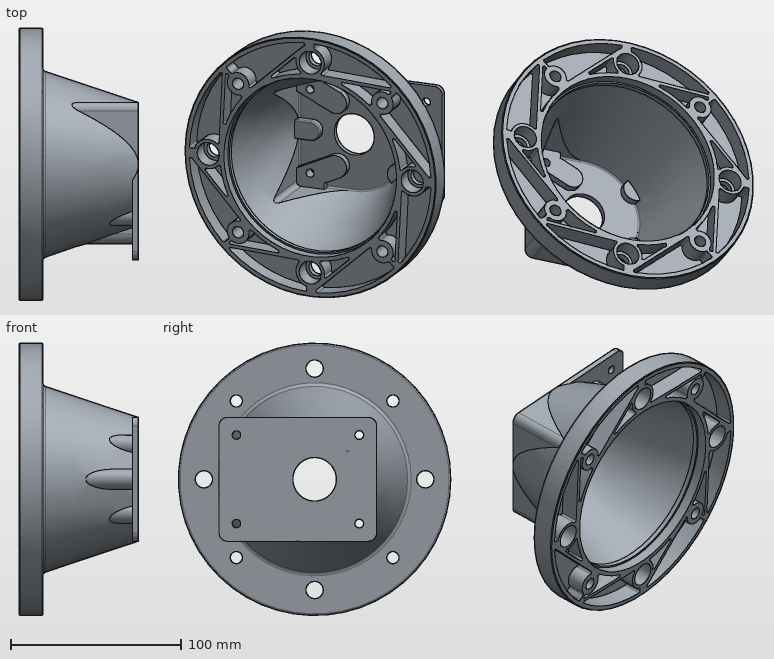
import cadquery as cq
import math

FLANGE_DIAMETER = 160.0
FLANGE_THICKNESS = 14.0
FLANGE_EDGE_RADIUS = 1.0
FLANGE_FACE_CHAMFER = 0.5
SPIGOT_DIAMETER = 110.0
SPIGOT_DEPTH = 6.0
RIM_LAND_RADIUS = 54.0

BOLT_CIRCLE_RADIUS = 65.0
BOLT_HOLE_DIAMETER = 10.0
BOLT_BORE_DIAMETER = 14.0
BOLT_BORE_DEPTH = 10.0
BOLT_BOSS_RADIUS = 9.0
SMALL_HOLE_DIAMETER = 7.0
SMALL_BOSS_RADIUS = 6.9
HOLE_STEP_ANGLE = 45
HOLE_ANGLES = range(0, 360, HOLE_STEP_ANGLE)
BOLT_ANGLES = HOLE_ANGLES[0::2]
SMALL_ANGLES = HOLE_ANGLES[1::2]

POCKET_INNER_RADIUS = 57.5
POCKET_OUTER_RADIUS = 77.0
POCKET_DEPTH = 11.0
POCKET_CORNER_RADIUS = 0.9
WEB_THICKNESS = 2.0
BOLT_WEB_THICKNESS = 3.8
BOLT_WEB_OFFSET = -0.4
BOSS_NECK_THICKNESS = 3.8
SMALLEST_POCKET_VOLUME = 100.0
SLANTED_WEB_OFFSET = 57.4
SLANTED_WEB_OVERLAP = 4.2
SLANTED_WEB_TURN = 2.8

TOTAL_LENGTH = 70.0
CONE_BASE_RADIUS = 55.1
CONE_END_RADIUS = 36.4
CONE_FILLET = 2.2
WALL_RADIAL = 2.8
CONE_SLOPE = (CONE_BASE_RADIUS - CONE_END_RADIUS) / (TOTAL_LENGTH - FLANGE_THICKNESS)

PLATE_THICKNESS = 3.5
PLATE_HALF_WIDTH = CONE_END_RADIUS
PLATE_BOTTOM = -56.1
PLATE_CORNER_RADIUS = 5.0
FLOOR_X = TOTAL_LENGTH - PLATE_THICKNESS
FLOOR_FILLET = 1.0
SHAFT_HOLE_DIAMETER = 25.4
PLATE_HOLE_DIAMETER = 5.0
PLATE_HOLE_Y = (26.2, -45.9)
PLATE_HOLE_Z = 26.0

CORNER_WALL = 1.5
CORNER_START_X = 22.0
CORNER_INNER_HALF = PLATE_HALF_WIDTH - CORNER_WALL
CORNER_INNER_RADIUS = 3.0

PAD_HEIGHT = 4.5
PAD_RADIUS = 7.0
PAD_Z = 20.0
UPPER_PAD_Y = 10.0
LOWER_PAD_Y = -30.0
PAD_SLOPE_ANGLE = 25.0
PAD_UPPER_END_Y = 17.2
POST_RADIUS = 6.0
POST_EDGE_RADIUS = 0.8
POST_Y = 26.0
LUG_RADIUS = 6.0
CENTRE_LUG_Y = -40.7


def cone_radius(x):
    """Outer radius of the cone at distance x from the flange face."""
    return CONE_END_RADIUS + (TOTAL_LENGTH - x) * CONE_SLOPE


def at_x(x):
    """Workplane facing +X at distance x; local axes are Y and Z."""
    return cq.Workplane("YZ", origin=(x, 0, 0))


def polar(radius, angle):
    """Point in the YZ plane, angle in degrees from +Y towards +Z."""
    turn = math.radians(angle)
    return radius * math.cos(turn), radius * math.sin(turn)


def bolt_circle_cylinders(angles, diameter, start_x, length):
    points = [polar(BOLT_CIRCLE_RADIUS, angle) for angle in angles]
    return at_x(start_x).pushPoints(points).circle(diameter / 2).extrude(length)


def revolve_profile(points):
    """Turn an (x, radius) outline about the X axis."""
    return cq.Workplane("XY").polyline(points).close().revolve(360, (0, 0, 0), (1, 0, 0))


def flange():
    disc = at_x(0).circle(FLANGE_DIAMETER / 2).extrude(FLANGE_THICKNESS)
    disc = disc.faces(">X").edges().fillet(FLANGE_EDGE_RADIUS)
    return disc.faces("<X").edges().chamfer(FLANGE_FACE_CHAMFER)


def cone():
    return revolve_profile([
        (0, 0),
        (0, SPIGOT_DIAMETER / 2),
        (FLANGE_THICKNESS, CONE_BASE_RADIUS),
        (TOTAL_LENGTH, CONE_END_RADIUS),
        (TOTAL_LENGTH, 0),
    ])


def flanged_cone():
    """Flange and cone joined, with a fillet where the cone leaves the flange."""
    joined = flange().union(cone())
    margin = 0.1
    reach = CONE_BASE_RADIUS + 1
    seam = cq.selectors.BoxSelector(
        (FLANGE_THICKNESS - margin, -reach, -reach),
        (FLANGE_THICKNESS + margin, reach, reach),
    )
    return joined.edges("%CIRCLE").edges(seam).fillet(CONE_FILLET)


def corner_block(half, radius, start_x, end_x):
    """Block from the axis to +Y with its two long outer edges rounded."""
    block = at_x(start_x).center(half / 2, 0).rect(half, 2 * half).extrude(end_x - start_x)
    return block.edges("|X and >Y").fillet(radius)


def plate():
    height = PLATE_HALF_WIDTH - PLATE_BOTTOM
    slab = at_x(FLOOR_X).center(PLATE_HALF_WIDTH - height / 2, 0)
    slab = slab.rect(height, 2 * PLATE_HALF_WIDTH).extrude(PLATE_THICKNESS)
    return slab.edges("|X").fillet(PLATE_CORNER_RADIUS)


def tongue(y_from, y_to, z, radius, start_x, end_x):
    """Bar along Y with a round end at y_from and a square end at y_to."""
    length = end_x - start_x
    bar = at_x(start_x).center((y_from + y_to) / 2, z)
    bar = bar.rect(abs(y_to - y_from), 2 * radius).extrude(length)
    return bar.union(at_x(start_x).center(y_from, z).circle(radius).extrude(length))


def outer_lugs():
    centre = tongue(CENTRE_LUG_Y, 0, 0, LUG_RADIUS, FLANGE_THICKNESS, FLOOR_X)
    sides = at_x(FLANGE_THICKNESS).pushPoints([(LOWER_PAD_Y, PAD_Z), (LOWER_PAD_Y, -PAD_Z)])
    return centre.union(sides.circle(LUG_RADIUS).extrude(FLOOR_X - FLANGE_THICKNESS))


def cavity():
    """Hollow of the housing: spigot recess, land, cone and square corners."""
    land_end_x = TOTAL_LENGTH - (RIM_LAND_RADIUS + WALL_RADIAL - CONE_END_RADIUS) / CONE_SLOPE
    floor_radius = cone_radius(FLOOR_X) - WALL_RADIAL
    space = revolve_profile([
        (0, 0),
        (0, SPIGOT_DIAMETER / 2),
        (SPIGOT_DEPTH, SPIGOT_DIAMETER / 2),
        (SPIGOT_DEPTH, RIM_LAND_RADIUS),
        (land_end_x, RIM_LAND_RADIUS),
        (FLOOR_X, floor_radius),
        (FLOOR_X, 0),
    ])
    corners = corner_block(CORNER_INNER_HALF, CORNER_INNER_RADIUS, CORNER_START_X, FLOOR_X)
    space = space.faces(">X").edges().fillet(FLOOR_FILLET)
    corners = corners.faces(">X").edges("not <Y").fillet(FLOOR_FILLET)
    return space.union(corners)


def upper_pad(side):
    """Pad from a round nose at the screw point to the housing corner."""
    turn = math.radians(PAD_SLOPE_ANGLE)
    nose_y = PAD_RADIUS * math.sin(turn)
    nose_z = PAD_RADIUS * math.cos(turn)
    low_y, low_z = UPPER_PAD_Y + nose_y, PAD_Z - nose_z
    high_y, high_z = UPPER_PAD_Y - nose_y, PAD_Z + nose_z
    slope = math.tan(turn)
    edge = PLATE_HALF_WIDTH - CORNER_WALL / 2
    outline = [
        (low_y, low_z),
        (edge, low_z + (edge - low_y) * slope),
        (edge, edge),
        (PAD_UPPER_END_Y, edge),
        (PAD_UPPER_END_Y, high_z + (PAD_UPPER_END_Y - high_y) * slope),
        (high_y, high_z),
    ]
    start_x = FLOOR_X - PAD_HEIGHT
    wedge = at_x(start_x).polyline([(y, side * z) for y, z in outline]).close().extrude(PAD_HEIGHT)
    nose = at_x(start_x).center(UPPER_PAD_Y, side * PAD_Z).circle(PAD_RADIUS).extrude(PAD_HEIGHT)
    return wedge.union(nose)


def inner_pads():
    start_x = FLOOR_X - PAD_HEIGHT
    pads = tongue(POST_Y, PLATE_HALF_WIDTH, 0, POST_RADIUS, start_x, FLOOR_X)
    pads = pads.faces("<X").edges("not >Y").fillet(POST_EDGE_RADIUS)
    lower_points = [(LOWER_PAD_Y, PAD_Z), (LOWER_PAD_Y, -PAD_Z)]
    pads = pads.union(at_x(start_x).pushPoints(lower_points).circle(PAD_RADIUS).extrude(PAD_HEIGHT))
    for side in (1, -1):
        pads = pads.union(upper_pad(side))
    return pads


def pocket_web(thickness, offset, start, end):
    """Wall along +Z from start to end, centred at Y = offset, as deep as the pockets."""
    web = cq.Workplane("XY").box(POCKET_DEPTH, thickness, end - start)
    return web.translate((POCKET_DEPTH / 2, offset, (start + end) / 2))


def turned(shape, angle):
    return shape.rotate((0, 0, 0), (1, 0, 0), angle)


def flange_pockets():
    """Ring-shaped space split by the hole bosses, radial webs and slanted webs."""
    ring = at_x(0).circle(POCKET_OUTER_RADIUS).circle(POCKET_INNER_RADIUS).extrude(POCKET_DEPTH)
    ring = ring.cut(bolt_circle_cylinders(BOLT_ANGLES, 2 * BOLT_BOSS_RADIUS, 0, POCKET_DEPTH))
    ring = ring.cut(bolt_circle_cylinders(SMALL_ANGLES, 2 * SMALL_BOSS_RADIUS, 0, POCKET_DEPTH))
    web_end = FLANGE_DIAMETER / 2
    bolt_web = pocket_web(BOLT_WEB_THICKNESS, BOLT_WEB_OFFSET, BOLT_CIRCLE_RADIUS, web_end)
    small_web = pocket_web(WEB_THICKNESS, 0, BOLT_CIRCLE_RADIUS, web_end)
    boss_neck = pocket_web(
        BOSS_NECK_THICKNESS, BOSS_NECK_THICKNESS / 2, SPIGOT_DIAMETER / 2, BOLT_CIRCLE_RADIUS)
    slanted_web = pocket_web(
        WEB_THICKNESS, SLANTED_WEB_OFFSET, -SLANTED_WEB_OVERLAP, POCKET_OUTER_RADIUS)
    for angle in BOLT_ANGLES:
        ring = ring.cut(turned(bolt_web, angle))
    for angle in SMALL_ANGLES:
        ring = ring.cut(turned(small_web, angle)).cut(turned(boss_neck, angle))
    for angle in HOLE_ANGLES:
        ring = ring.cut(turned(slanted_web, angle + SLANTED_WEB_TURN))
    pockets = ring.solids().filter(lambda pocket: pocket.Volume() > SMALLEST_POCKET_VOLUME)
    return pockets.edges("|X").fillet(POCKET_CORNER_RADIUS)


def cut_flange_holes(body):
    """Counterbored bolt holes and the plain holes between them."""
    body = body.cut(bolt_circle_cylinders(BOLT_ANGLES, BOLT_HOLE_DIAMETER, 0, FLANGE_THICKNESS))
    body = body.cut(bolt_circle_cylinders(BOLT_ANGLES, BOLT_BORE_DIAMETER, 0, BOLT_BORE_DEPTH))
    return body.cut(bolt_circle_cylinders(SMALL_ANGLES, SMALL_HOLE_DIAMETER, 0, FLANGE_THICKNESS))


def cut_plate_holes(body):
    """Shaft hole and the four screw holes, two of which also pass through pads."""
    points = [(y, side * PLATE_HOLE_Z) for y in PLATE_HOLE_Y for side in (1, -1)]
    screw_holes = at_x(FLOOR_X - PAD_HEIGHT).pushPoints(points).circle(PLATE_HOLE_DIAMETER / 2)
    body = body.cut(screw_holes.extrude(PAD_HEIGHT + PLATE_THICKNESS))
    return body.cut(at_x(FLOOR_X).circle(SHAFT_HOLE_DIAMETER / 2).extrude(PLATE_THICKNESS))


housing = flanged_cone()
housing = housing.union(
    corner_block(PLATE_HALF_WIDTH, PLATE_CORNER_RADIUS, CORNER_START_X, TOTAL_LENGTH))
housing = housing.union(plate()).union(outer_lugs())
housing = housing.cut(cavity().cut(inner_pads()))
for pocket in flange_pockets().solids().vals():
    housing = housing.cut(cq.Workplane(pocket))
housing = cut_flange_holes(housing)
result = cut_plate_holes(housing)